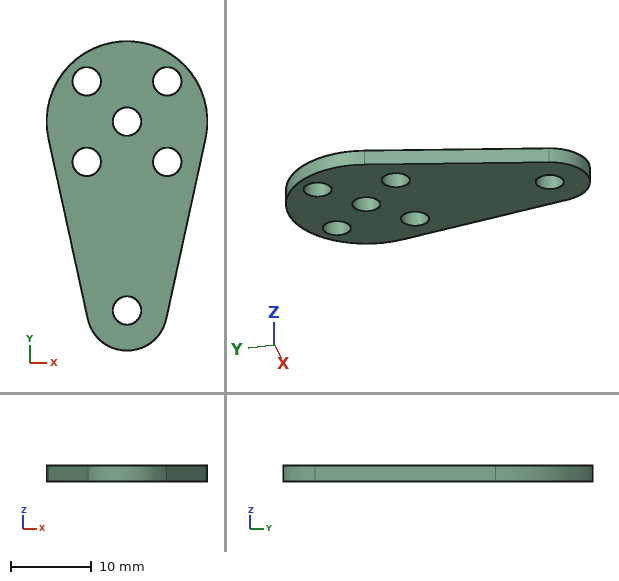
import cadquery as cq
import math

length = 38.4
thickness = 2.0
head_radius = 10.0
tail_radius = head_radius / 2
hole_diameter = 3.5
hole_spacing = 10.0

center_distance = length - head_radius - tail_radius
taper_angle = math.asin((head_radius - tail_radius) / center_distance)


def tangent_point(radius, center_y):
    """Point where the right-hand straight flank touches an end arc."""
    x = radius * math.cos(taper_angle)
    y = center_y - radius * math.sin(taper_angle)
    return x, y


head_x, head_y = tangent_point(head_radius, 0)
tail_x, tail_y = tangent_point(tail_radius, -center_distance)

plate = (
    cq.Workplane("XY")
    .moveTo(head_x, head_y)
    .threePointArc((0, head_radius), (-head_x, head_y))
    .lineTo(-tail_x, tail_y)
    .threePointArc((0, -center_distance - tail_radius), (tail_x, tail_y))
    .close()
    .extrude(thickness)
)

half_spacing = hole_spacing / 2
corner_holes = [(x, y) for x in (-half_spacing, half_spacing) for y in (-half_spacing, half_spacing)]
hole_centers = [(0, 0), (0, -center_distance)] + corner_holes
holes = (
    cq.Workplane("XY")
    .pushPoints(hole_centers)
    .circle(hole_diameter / 2)
    .extrude(thickness)
)

result = plate.cut(holes)